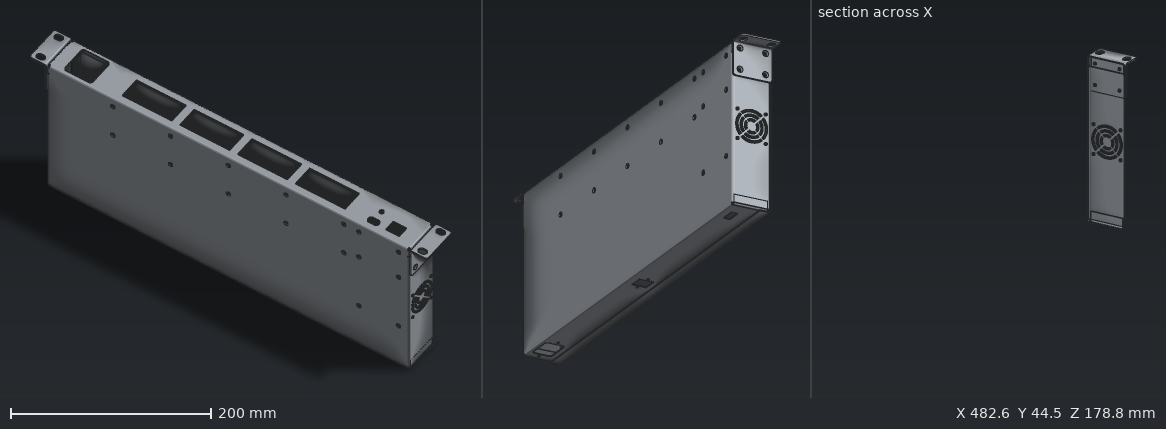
import cadquery as cq
SHEET = 1.0
BEND = 2.5
INNER_BEND = BEND - SHEET

RACK_WIDTH = 482.6
RACK_HEIGHT = 44.45
TOTAL_DEPTH = 178.8

CASE_WIDTH = 440.0
CASE_HEIGHT = 44.0
CASE_DEPTH = TOTAL_DEPTH - SHEET
FLANGE = 11.5
SEAM = 0.3
COVER_REAR_FLANGE = 12.7

HALF_CASE = CASE_WIDTH / 2
COVER_Y = CASE_HEIGHT / 2
LIP_Y = COVER_Y - SHEET
BASE_Y = -CASE_HEIGHT / 2
REAR_Z = -CASE_DEPTH

MODULE_PITCH = 70.0
MODULE_WINDOW = (60.0, 25.0)
MODULE_COUNT = 4

INLET_WINDOW_X = -186.5
INLET_WINDOW_SIZE = 33.5
INLET_WINDOW_RADIUS = 3.0

LED_CENTRE = (167.5, 5.0)
LED_DIAMETER = 5.0
SWITCH_CENTRE = (168.0, -10.0)
SWITCH_SIZE = (13.0, 7.3)
SWITCH_RADIUS = 3.0
PORT_CENTRE = (192.5, -5.8)
PORT_SIZE = (16.0, 13.0)

REAR_INLET_CENTRE = (-192.3, -7.2)
REAR_INLET_SIZE = (30.0, 21.6)
REAR_INLET_RADIUS = 3.5
REAR_INLET_SCREW_PITCH = 40.0
SOCKET_CENTRE = (0.0, -4.4)
SOCKET_SIZE = 16.0
SOCKET_SCREW_PITCH = 23.4
REAR_SLOT_CENTRE = (192.0, -8.9)
REAR_SLOT_SIZE = (17.0, 7.4)
REAR_SLOT_RADIUS = 2.0
REAR_SCREW_DIAMETER = 2.5

BASE_HOLE_DIAMETER = 3.4
BASE_SINK_DIAMETER = 5.4
MODULE_HOLE_Z = (-11.7, -53.7)
BOARD_HOLE_X = (158.4, 206.4)
BOARD_HOLE_Z = (-11.7, -48.7, -120.7)

FAN_Z = -CASE_DEPTH / 2
FAN_SCREW_PITCH = 32.0
FAN_SCREW_DIAMETER = 3.2
GRILLE_RINGS = ((5.8, 8.0), (10.7, 12.9), (15.6, 17.9))
SPOKE_WIDTH = 3.0

EAR_SHEET = 2.0
EAR_BEND = 3.0
EAR_LEG = 38.0
EAR_CORNER = 3.0
EAR_SLOT_X = 231.5
EAR_SLOT_PITCH = 31.75
EAR_SLOT_SIZE = (10.0, 7.0)
EAR_SCREW_Y = 14.5
EAR_SCREW_Z = (-7.8, -30.8)
EAR_SCREW_DIAMETER = 3.4
THREAD_DIAMETER = 2.5
EAR_SINK_DIAMETER = 6.6
SINK_ANGLE = 90.0


def block(x0, x1, y0, y1, z0, z1):
    """Box between the given limits."""
    return cq.Workplane("XY").box(x1 - x0, y1 - y0, z1 - z0, centered=False).translate((x0, y0, z0))


def bent_tube(x0, x1, y0, y1, z0, z1, axis):
    """Sheet bent into a closed rectangular tube along one axis."""
    wall_x, wall_y, wall_z = [0 if name == axis else SHEET for name in "XYZ"]
    outside = block(x0, x1, y0, y1, z0, z1).edges("|" + axis).fillet(BEND)
    inside = block(x0 + wall_x, x1 - wall_x, y0 + wall_y, y1 - wall_y, z0 + wall_z, z1 - wall_z)
    return outside.cut(inside.edges("|" + axis).fillet(INNER_BEND))


def folded_shell():
    """Base, walls and return flanges of the chassis, without holes."""
    sides = bent_tube(-HALF_CASE, HALF_CASE, BASE_Y, LIP_Y, REAR_Z + BEND, -FLANGE - SEAM, "Z")
    lip_inside = HALF_CASE - FLANGE
    sides = sides.cut(block(-lip_inside, lip_inside, 0, COVER_Y, REAR_Z, 0))

    flat = HALF_CASE - BEND
    wrap = bent_tube(-flat, flat, BASE_Y, COVER_Y, REAR_Z, 0, "X")
    wrap = wrap.cut(block(-flat, flat, COVER_Y - BEND, COVER_Y, REAR_Z, -FLANGE))

    notched = HALF_CASE - SHEET
    tongue = block(-notched, notched, BASE_Y, BASE_Y + SHEET, -FLANGE, -BEND)

    low, high = BASE_Y + BEND, LIP_Y - BEND
    front = bent_tube(-HALF_CASE, HALF_CASE, low, high, REAR_Z, 0, "Y")
    front = front.intersect(block(-HALF_CASE, HALF_CASE, low, high, -FLANGE, 0))

    rear = bent_tube(-notched, notched, low, high, REAR_Z, 0, "Y")
    rear = rear.intersect(block(-notched, notched, low, high, REAR_Z, REAR_Z + FLANGE))

    return sides.union(wrap).union(tongue).union(front).union(rear)


def panel_opening(centre, size, radius, panel_z):
    """Cutter for a rectangular opening through a panel whose outer face is at panel_z."""
    cutter = cq.Workplane("XY").box(size[0], size[1], 4 * SHEET)
    if radius:
        cutter = cutter.edges("|Z").fillet(radius)
    return cutter.translate((centre[0], centre[1], panel_z))


def panel_hole(centre, diameter, panel_z):
    """Cutter for a round hole through a front or rear panel."""
    cutter = cq.Workplane("XY").circle(diameter / 2).extrude(2 * SHEET, both=True)
    return cutter.translate((centre[0], centre[1], panel_z))


def front_cutters():
    """Openings of the front panel."""
    cutters = [
        panel_opening((INLET_WINDOW_X, 0), (INLET_WINDOW_SIZE, INLET_WINDOW_SIZE), INLET_WINDOW_RADIUS, 0),
        panel_hole(LED_CENTRE, LED_DIAMETER, 0),
        panel_opening(SWITCH_CENTRE, SWITCH_SIZE, SWITCH_RADIUS, 0),
        panel_opening(PORT_CENTRE, PORT_SIZE, 0, 0),
    ]
    for index in range(MODULE_COUNT):
        x = (index - (MODULE_COUNT - 1) / 2) * MODULE_PITCH
        cutters.append(panel_opening((x, 0), MODULE_WINDOW, 0, 0))
    return cutters


def rear_cutters():
    """Openings and connector screw holes of the rear panel."""
    cutters = [
        panel_opening(REAR_INLET_CENTRE, REAR_INLET_SIZE, REAR_INLET_RADIUS, REAR_Z),
        panel_opening(SOCKET_CENTRE, (SOCKET_SIZE, SOCKET_SIZE), 0, REAR_Z),
        panel_opening(REAR_SLOT_CENTRE, REAR_SLOT_SIZE, REAR_SLOT_RADIUS, REAR_Z),
    ]
    for centre, pitch in ((REAR_INLET_CENTRE, REAR_INLET_SCREW_PITCH), (SOCKET_CENTRE, SOCKET_SCREW_PITCH)):
        for side in (-1, 1):
            screw = (centre[0] + side * pitch / 2, centre[1])
            cutters.append(panel_hole(screw, REAR_SCREW_DIAMETER, REAR_Z))
    return cutters


def base_cutter():
    """Countersunk screw holes of the four modules and of the circuit board."""
    points = [(column * MODULE_PITCH, z) for column in range(-2, 3) for z in MODULE_HOLE_Z]
    points += [(x, z) for x in BOARD_HOLE_X for z in BOARD_HOLE_Z]
    cone = cq.Solid.makeCone(BASE_SINK_DIAMETER / 2, BASE_HOLE_DIAMETER / 2, SHEET, dir=cq.Vector(0, 1, 0))
    cutter = cq.Workplane("XY")
    for x, z in points:
        cutter = cutter.add(cone.translate(cq.Vector(x, BASE_Y, z)))
    return cutter.combine()


def grille_cutter():
    """Slot rings split by diagonal spokes, and fan screw holes, through both side walls."""
    plane = cq.Workplane("YZ").center(0, FAN_Z)
    slots = cq.Workplane("YZ")
    for inner, outer in GRILLE_RINGS:
        slots = slots.union(plane.circle(outer).circle(inner).extrude(CASE_WIDTH, both=True))
    span = 3 * GRILLE_RINGS[-1][1]
    for angle in (45, 135):
        spoke = cq.Workplane("XY").box(3 * CASE_WIDTH, span, SPOKE_WIDTH)
        spoke = spoke.rotate((0, 0, 0), (1, 0, 0), angle).translate((0, 0, FAN_Z))
        slots = slots.cut(spoke)
    screws = plane.rect(FAN_SCREW_PITCH, FAN_SCREW_PITCH, forConstruction=True).vertices()
    return slots.union(screws.circle(FAN_SCREW_DIAMETER / 2).extrude(CASE_WIDTH, both=True))


def ear_screw_cutter():
    """Straight holes through both side walls on the axes of the ear screws."""
    points = [(side * EAR_SCREW_Y, z) for side in (-1, 1) for z in EAR_SCREW_Z]
    holes = cq.Workplane("YZ").pushPoints(points).circle(THREAD_DIAMETER / 2)
    return holes.extrude(CASE_WIDTH, both=True)


def make_chassis():
    """Folded chassis with all its openings."""
    chassis = folded_shell()
    for cutter in front_cutters() + rear_cutters():
        chassis = chassis.cut(cutter)
    return chassis.cut(base_cutter()).cut(grille_cutter()).cut(ear_screw_cutter())


def make_cover():
    """Flat cover behind the front lip, bent down over the outside of the rear panel."""
    cover = block(-HALF_CASE, HALF_CASE, COVER_Y - COVER_REAR_FLANGE, COVER_Y, -TOTAL_DEPTH, -FLANGE)
    cover = cover.edges(">Y and <Z").fillet(BEND)
    inside = block(-HALF_CASE, HALF_CASE, BASE_Y, LIP_Y, REAR_Z, 0)
    return cover.cut(inside.edges(">Y and <Z").fillet(INNER_BEND))


def make_ear(side):
    """Angle bracket with rack slots in the front plate and countersunk screws in the leg."""
    half_height = RACK_HEIGHT / 2
    leg_outside = HALF_CASE + EAR_SHEET
    ear = block(HALF_CASE, RACK_WIDTH / 2, -half_height, half_height, -EAR_LEG, 0)
    ear = ear.edges("<X and >Z").fillet(EAR_BEND)
    outside = block(leg_outside, RACK_WIDTH / 2, -half_height, half_height, -EAR_LEG, -EAR_SHEET)
    ear = ear.cut(outside.edges("<X and >Z").fillet(EAR_BEND - EAR_SHEET))
    ear = ear.edges(">X and |Z").fillet(EAR_CORNER)
    ear = ear.edges("<Z and |X").fillet(EAR_CORNER)

    slot_points = [(EAR_SLOT_X, row * EAR_SLOT_PITCH / 2) for row in (-1, 1)]
    slots = cq.Workplane("XY").pushPoints(slot_points).slot2D(*EAR_SLOT_SIZE).extrude(-2 * EAR_SHEET)
    ear = ear.cut(slots)

    screw_points = [(row * EAR_SCREW_Y, z) for row in (-1, 1) for z in EAR_SCREW_Z]
    leg_face = cq.Workplane("YZ", origin=(leg_outside, 0, 0)).add(ear).pushPoints(screw_points)
    ear = leg_face.cskHole(EAR_SCREW_DIAMETER, EAR_SINK_DIAMETER, SINK_ANGLE, depth=2 * EAR_SHEET)
    return ear if side > 0 else ear.mirror("YZ")


chassis = make_chassis()
cover = make_cover()
ears = [make_ear(side) for side in (-1, 1)]

result = cq.Compound.makeCompound([chassis.val(), cover.val(), *[ear.val() for ear in ears]])